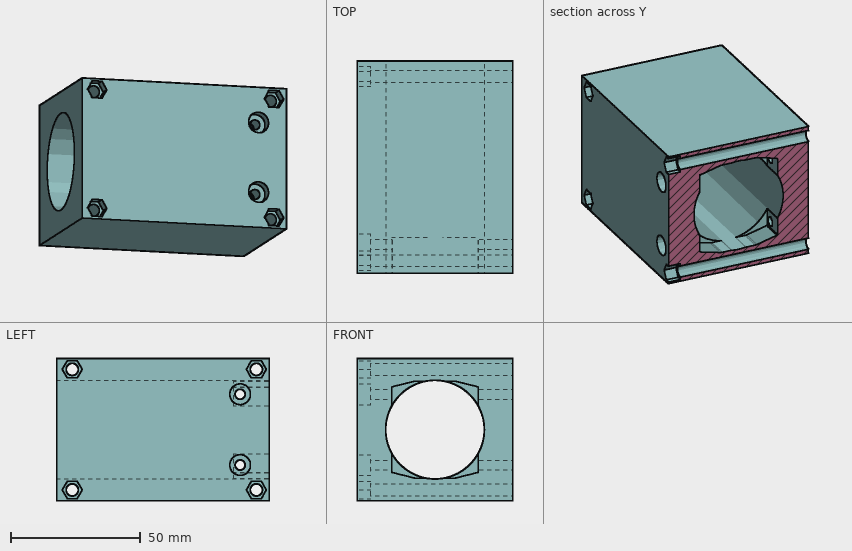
import cadquery as cq

WIDTH = 60.0
LENGTH = 82.0
HEIGHT = 55.0

BORE_DIAMETER = 38.0
POCKET_WIDTH = 33.2
POCKET_SIDE_HEIGHT = 33.1
POCKET_HEIGHT = 37.5
POCKET_FLAT_WIDTH = 14.2
POCKET_BEND_WIDTH = 0.65
POCKET_BEND_DROP = 0.04
POCKET_CORNER_BEVEL = 0.2
POCKET_DEPTH = 14.0

CORNER_HOLE_DIAMETER = 4.6
NUT_CORNER_DIAMETER = 7.7
NUT_RECESS_DEPTH = 5.0
CORNER_FRONT_INSET = 5.0
CORNER_BACK_INSET = 6.0
CORNER_Z_INSET = 4.25

CLAMP_HOLE_DIAMETER = 3.8
CLAMP_HEAD_DIAMETER = 8.0
CLAMP_HEAD_DEPTH = 5.0
CLAMP_SPACING = 27.3
CLAMP_FRONT_INSET = 11.25

front_y = -LENGTH / 2
back_y = LENGTH / 2


def bore():
    """Round bore through the full length."""
    return cq.Workplane("XZ", origin=(0, back_y, 0)).circle(BORE_DIAMETER / 2).extrude(LENGTH)


def pocket():
    """Square-sided pocket with shallow sloped top and bottom, open at the front end."""
    side_x = POCKET_WIDTH / 2
    side_z = POCKET_SIDE_HEIGHT / 2
    flat_x = POCKET_FLAT_WIDTH / 2
    flat_z = POCKET_HEIGHT / 2
    upper_right = [
        (side_x, side_z - POCKET_CORNER_BEVEL),
        (side_x - POCKET_CORNER_BEVEL, side_z),
        (flat_x + POCKET_BEND_WIDTH, flat_z - POCKET_BEND_DROP),
        (flat_x, flat_z),
    ]
    upper_left = [(-x, z) for x, z in reversed(upper_right)]
    lower_half = [(-x, -z) for x, z in upper_right + upper_left]
    outline = upper_right + upper_left + lower_half
    return cq.Workplane("XZ", origin=(0, front_y, 0)).polyline(outline).close().extrude(-POCKET_DEPTH)


def side_plane():
    """Sketch plane on the -X side: local x is Y, local y is Z, and +X points into the block."""
    return cq.Workplane("YZ", origin=(-WIDTH / 2, 0, 0))


def corner_holes():
    """Through holes near the four corners, each with a hexagonal nut recess."""
    z = HEIGHT / 2 - CORNER_Z_INSET
    places = [
        (y, side * z)
        for y in (front_y + CORNER_FRONT_INSET, back_y - CORNER_BACK_INSET)
        for side in (-1, 1)
    ]
    holes = side_plane().pushPoints(places).circle(CORNER_HOLE_DIAMETER / 2).extrude(WIDTH)
    recesses = side_plane().pushPoints(places).polygon(6, NUT_CORNER_DIAMETER).extrude(NUT_RECESS_DEPTH)
    return holes.union(recesses)


def clamp_holes():
    """Two counterbored holes crossing the pocket, one above the other."""
    y = front_y + CLAMP_FRONT_INSET
    places = [(y, side * CLAMP_SPACING / 2) for side in (-1, 1)]
    holes = side_plane().pushPoints(places).circle(CLAMP_HOLE_DIAMETER / 2).extrude(WIDTH)
    heads = side_plane().pushPoints(places).circle(CLAMP_HEAD_DIAMETER / 2).extrude(CLAMP_HEAD_DEPTH)
    return holes.union(heads)


block = cq.Workplane("XY").box(WIDTH, LENGTH, HEIGHT)
result = block.cut(bore()).cut(pocket()).cut(corner_holes()).cut(clamp_holes())